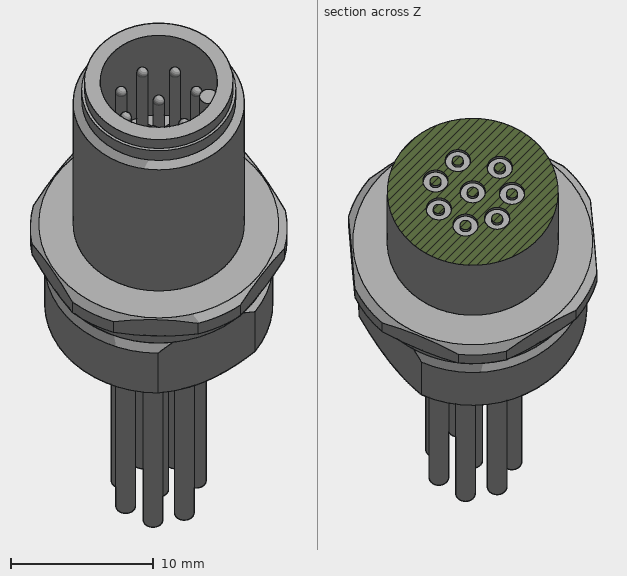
import cadquery as cq
import math

rim_bottom = -1.0
neck_bottom = -2.1
shoulder_bottom = -2.4
flange_top = -16.1
flange_thickness = 2.0
seal_section_radius = 1.0
nut_height = 6.0
wire_length = 20.0
flange_bottom = flange_top - flange_thickness
nut_top = flange_bottom - 2 * seal_section_radius
nut_bottom = nut_top - nut_height

rim_radius = 5.2
neck_radius = 5.4
shell_radius = 6.0
socket_radius = 4.1
socket_depth = 9.0

flange_across_flats = 17.0
flange_radius = 9.0
flange_face_radius = 8.4
flange_chamfer_height = 0.4

seal_outer_radius = 8.0
seal_center_radius = seal_outer_radius - seal_section_radius

nut_radius = 8.0
nut_across_flats = 14.0
nut_top_chamfer = 0.5
nut_bottom_chamfer = 1.0

contact_circle_radius = 2.75
ring_contact_count = 7
key_angle = 45.0
key_gap_angle = 66.0
pin_radius = 0.4
pin_tip = -1.8
recess_radius = 0.87
recess_depth = 0.5
wire_radius = 0.7

key_radius = 0.64
key_center_radius = 3.65
key_top = -0.4


def polar(radius, angle):
    return (radius * math.cos(math.radians(angle)), radius * math.sin(math.radians(angle)))


def contact_points():
    pitch = (360.0 - key_gap_angle) / (ring_contact_count - 1)
    first_angle = key_angle + key_gap_angle / 2
    ring = [polar(contact_circle_radius, first_angle + i * pitch) for i in range(ring_contact_count)]
    return [(0, 0)] + ring


def revolve_profile(points):
    """Turn a closed (radius, z) outline about the Z axis."""
    return cq.Workplane("XZ").polyline(points).close().revolve(360, (0, 0), (0, 1))


def cylinders(points, radius, bottom, top):
    """Upright cylinders of one radius at the given (x, y) points."""
    return cq.Workplane("XY", origin=(0, 0, bottom)).pushPoints(points).circle(radius).extrude(top - bottom)


def make_shell():
    return revolve_profile([
        (0, 0),
        (rim_radius, 0),
        (rim_radius, rim_bottom),
        (neck_radius, rim_bottom),
        (neck_radius, neck_bottom),
        (shell_radius, shoulder_bottom),
        (shell_radius, flange_top),
        (0, flange_top),
    ])


def make_flange():
    turned = revolve_profile([
        (0, flange_top),
        (flange_face_radius, flange_top),
        (flange_radius, flange_top - flange_chamfer_height),
        (flange_radius, flange_bottom + flange_chamfer_height),
        (flange_face_radius, flange_bottom),
        (0, flange_bottom),
    ])
    corner_diameter = flange_across_flats / math.cos(math.pi / 6)
    hexagon = (
        cq.Workplane("XY", origin=(0, 0, flange_bottom))
        .polygon(6, corner_diameter)
        .extrude(flange_thickness)
    )
    return turned.intersect(hexagon)


def make_seal():
    """Solid neck whose rim is the outward half of the round seal section."""
    crest = (seal_outer_radius, flange_bottom - seal_section_radius)
    return (
        cq.Workplane("XZ")
        .moveTo(0, flange_bottom)
        .lineTo(seal_center_radius, flange_bottom)
        .threePointArc(crest, (seal_center_radius, nut_top))
        .lineTo(0, nut_top)
        .close()
        .revolve(360, (0, 0), (0, 1))
    )


def make_nut():
    turned = revolve_profile([
        (0, nut_top),
        (nut_radius - nut_top_chamfer, nut_top),
        (nut_radius, nut_top - nut_top_chamfer),
        (nut_radius, nut_bottom + nut_bottom_chamfer),
        (nut_radius - nut_bottom_chamfer, nut_bottom),
        (0, nut_bottom),
    ])
    flats = (
        cq.Workplane("XY", origin=(0, 0, nut_bottom))
        .rect(nut_across_flats, 2 * nut_radius)
        .extrude(nut_height)
    )
    return turned.intersect(flats)


def make_pins():
    recess_floor = -socket_depth - recess_depth
    pins = cylinders(contact_points(), pin_radius, recess_floor, pin_tip - pin_radius)
    for x, y in contact_points():
        tip = cq.Workplane("XY", origin=(x, y, pin_tip - pin_radius)).sphere(pin_radius)
        pins = pins.union(tip)
    return pins


def make_key():
    return cylinders([polar(key_center_radius, key_angle)], key_radius, -socket_depth, key_top)


body = make_shell().union(make_flange()).union(make_seal()).union(make_nut())
body = body.cut(cylinders([(0, 0)], socket_radius, -socket_depth, 0))
body = body.cut(cylinders(contact_points(), recess_radius, -socket_depth - recess_depth, -socket_depth))
wires = cylinders(contact_points(), wire_radius, nut_bottom - wire_length, nut_bottom)

result = body.union(make_pins()).union(make_key()).union(wires)